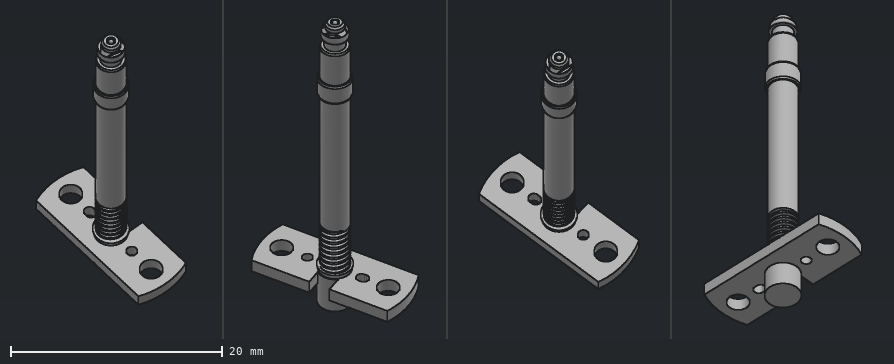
import cadquery as cq

plate_bottom = 2.62
plate_top = 4.02
plate_depth = 6.0
plate_length = 16.0
plate_end_radius = plate_length / 2
mount_hole_offset = 5.8
mount_hole_diameter = 2.2
pin_hole_offset = 3.0
pin_hole_diameter = 1.05
pin_slot_length = 1.3
notch_width = 2.2

boss_radius = 1.75
flange_top = 4.55
flange_base_radius = 1.65
thread_top = 9.75
barrel_radius = 1.47
barrel_top = 32.0
collar_bottom = 25.9
collar_top = 28.1
collar_radius = 1.7
chamfer_height = 0.2
chamfer_depth = 0.1

groove_pitch = 0.63
groove_depth = 0.35
groove_mouth = 0.4
groove_floor = 0.28

stem_radius = 1.05
nipple_bottom = 33.15
bulge_height = 33.32
bulge_radius = 1.35
cone_bottom = 33.88
cone_bottom_radius = 1.3
neck_bottom = 34.2
neck_radius = 0.95
tip_height = 34.82
tip_chamfer = 0.2
tip_recess_radius = 0.42
tip_recess_depth = 0.3
ball_radius = 0.28
total_height = 35.0
flat_floor = 33.9
flat_angles = (105, 225, 345)


def cylinder(radius, bottom, top):
    return cq.Workplane("XY").workplane(offset=bottom).circle(radius).extrude(top - bottom)


def revolve_outline(outline):
    """Turn a closed outline of (radius, height) points about the Z axis."""
    return cq.Workplane("XZ").polyline(outline).close().revolve(360, (0, 0), (0, 1))


def make_plate():
    thickness = plate_top - plate_bottom
    plate = cylinder(plate_end_radius, plate_bottom, plate_top)
    strip = cq.Workplane("XY").workplane(offset=plate_bottom)
    strip = strip.rect(plate_length, plate_depth).extrude(thickness)
    plate = plate.intersect(strip)

    base = cq.Workplane("XY").workplane(offset=plate_bottom)
    mount_holes = base.pushPoints([(-mount_hole_offset, 0), (mount_hole_offset, 0)])
    mount_holes = mount_holes.circle(mount_hole_diameter / 2).extrude(thickness)
    pin_hole = base.center(pin_hole_offset, 0).circle(pin_hole_diameter / 2).extrude(thickness)
    pin_slot = base.center(-pin_hole_offset, 0).slot2D(pin_slot_length, pin_hole_diameter)
    pin_slot = pin_slot.extrude(thickness)
    notch = base.center(0, plate_depth / 4).rect(notch_width, plate_depth / 2).extrude(thickness)
    return plate.cut(mount_holes).cut(pin_hole).cut(pin_slot).cut(notch)


def make_base():
    """Boss through the plate, with a flange that flares out above it."""
    outline = [
        (0, 0),
        (boss_radius, 0),
        (boss_radius, plate_top),
        (flange_base_radius, plate_top),
        (boss_radius, flange_top),
        (0, flange_top),
    ]
    return revolve_outline(outline)


def make_threaded_section():
    """Rod with a right-handed helical groove that runs out past both ends."""
    helix_start = plate_top
    helix_length = thread_top - helix_start + groove_pitch
    floor_radius = barrel_radius - groove_depth
    overshoot = 0.1
    cutter_radius = barrel_radius + overshoot
    wall_slope = (groove_mouth - groove_floor) / groove_depth
    cutter_mouth = groove_mouth + wall_slope * overshoot

    helix = cq.Wire.makeHelix(groove_pitch, helix_length, floor_radius)
    helix = helix.translate(cq.Vector(0, 0, helix_start))
    profile = cq.Workplane("XZ").polyline([
        (floor_radius, helix_start - groove_floor / 2),
        (cutter_radius, helix_start - cutter_mouth / 2),
        (cutter_radius, helix_start + cutter_mouth / 2),
        (floor_radius, helix_start + groove_floor / 2),
    ]).close()
    groove = profile.sweep(cq.Workplane(helix), isFrenet=True)
    rod = cylinder(barrel_radius, helix_start - groove_pitch, helix_start + helix_length + groove_pitch)
    envelope = cylinder(cutter_radius, flange_top, thread_top)
    return rod.cut(groove).intersect(envelope)


def make_barrel():
    """Plain tube above the groove, with a chamfered collar and a chamfered top."""
    outline = [
        (0, thread_top),
        (barrel_radius, thread_top),
        (barrel_radius, collar_bottom),
        (collar_radius - chamfer_depth, collar_bottom),
        (collar_radius, collar_bottom + chamfer_height),
        (collar_radius, collar_top - chamfer_height),
        (collar_radius - chamfer_depth, collar_top),
        (barrel_radius, collar_top),
        (barrel_radius, barrel_top - chamfer_height),
        (barrel_radius - chamfer_depth, barrel_top),
        (0, barrel_top),
    ]
    return revolve_outline(outline)


def make_nipple():
    """Round stem and rounded head, with a ball seated in the recessed tip."""
    stem = cylinder(stem_radius, barrel_top, nipple_bottom)
    head = (
        cq.Workplane("XZ")
        .moveTo(0, nipple_bottom)
        .lineTo(bulge_radius, nipple_bottom)
        .lineTo(bulge_radius, bulge_height)
        .tangentArcPoint((cone_bottom_radius, cone_bottom), relative=False)
        .lineTo(neck_radius, neck_bottom)
        .lineTo(neck_radius, tip_height - tip_chamfer)
        .lineTo(neck_radius - tip_chamfer, tip_height)
        .lineTo(tip_recess_radius, tip_height)
        .lineTo(tip_recess_radius, tip_height - tip_recess_depth)
        .lineTo(0, tip_height - tip_recess_depth)
        .close()
        .revolve(360, (0, 0), (0, 1))
    )
    for angle in flat_angles:
        head = head.cut(make_flat_cutter(angle))
    ball = cq.Workplane("XY").sphere(ball_radius)
    ball = ball.translate((0, 0, total_height - ball_radius))
    return stem.union(head).union(ball)


def make_flat_cutter(angle):
    """Block that cuts a flat facing the given angle from +X, tangent to the neck."""
    block_size = 2 * bulge_radius
    block_height = neck_bottom - flat_floor
    block = cq.Workplane("XY").box(block_size, block_size, block_height, centered=(False, True, False))
    block = block.translate((neck_radius, 0, flat_floor))
    return block.rotate((0, 0, 0), (0, 0, 1), angle)


result = make_plate().union(make_base())
result = result.union(make_threaded_section())
result = result.union(make_barrel())
result = result.union(make_nipple())